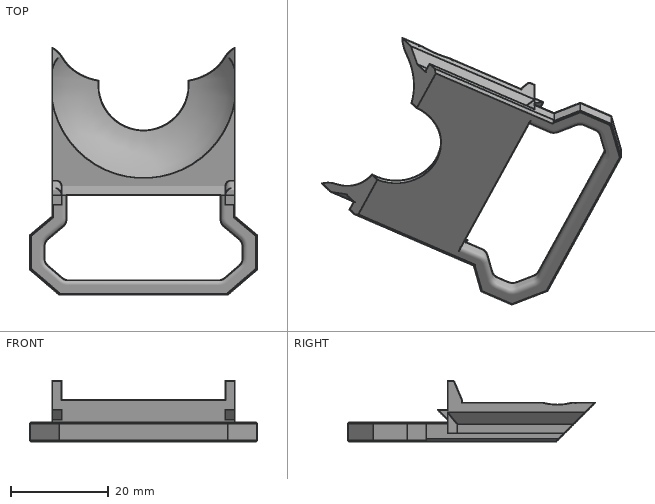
import cadquery as cq

length = 50.75
body_half_width = 18.8
plate_top = 8.0
body_front = 20.45
body_bottom_chamfer = 0.6

handle_height = 3.95
handle_half_width = 23.3
handle_front_half_width = 17.25
handle_wall = 3.0
handle_side_front = 5.2
handle_side_back = 12.25
neck_front = 16.05
handle_chamfer = 0.25
handle_inner_radius = 2.0
handle_inner_fillet = 1.0

bowl_y = 43.0
bowl_rim_radius = 19.05
bowl_mid_radius = 14.3
bowl_mid_z = 3.15
hole_radius = 9.25
hole_top = 1.2

relief_width = 2.25
relief_bulge = 0.3
relief_start = 40.6

groove_depth = 2.05
groove_floor = 1.75
groove_inner_top = 3.55
groove_outer_top = 6.0

lug_width = 2.0
post_top = 12.5
post_length = 3.0
post_top_length = 1.3
post_base_height = 0.5
post_edge_fillet = 1.2
post_top_fillet = 0.5
hook_top = 6.5
hook_reach = 2.0
lip_height = 0.55
lip_length = 1.95


def both_sides(shape):
    """The shape together with its mirror image across the YZ plane."""
    return shape.union(shape.mirror("YZ"))


def along_x(points, x_start, width):
    """Prism with a (Y, Z) outline, running from x_start towards +X."""
    return cq.Workplane("YZ").workplane(offset=x_start).polyline(points).close().extrude(width)


def make_body():
    """Block with a 45 degree undercut back."""
    side = [
        (body_front, 0),
        (length - plate_top, 0),
        (length, plate_top),
        (body_front, plate_top),
    ]
    return along_x(side, -body_half_width, 2 * body_half_width)


def make_handle():
    """Closed octagonal loop whose necks run back into the body."""
    right = [
        (handle_front_half_width, 0),
        (handle_half_width, handle_side_front),
        (handle_half_width, handle_side_back),
        (body_half_width, neck_front),
        (body_half_width, body_front + handle_wall),
    ]
    left = [(-x, y) for x, y in reversed(right)]
    corners = right + left
    inset = cq.Workplane("XY").polyline(corners).close().offset2D(-handle_wall, "intersection")
    opening = cq.Workplane("XY").add(inset).toPending().extrude(handle_height)
    opening = opening.edges("|Z").edges("not >Y").fillet(handle_inner_radius)

    outer = cq.Workplane("XY").polyline(corners).close().extrude(handle_height)
    outer = outer.faces("<Z or >Z").edges("not >Y").chamfer(handle_chamfer)
    loop = outer.cut(opening)
    top_rim = loop.faces(">Z").val().innerWires()[0].Edges()
    bottom_rim = loop.faces("<Z").val().innerWires()[0].Edges()
    return loop.newObject(top_rim + bottom_rim).fillet(handle_inner_fillet)


def make_bottom_chamfer():
    """Wedge that bevels the bottom edge of the body and neck on the +X side."""
    return (
        cq.Workplane("XZ", origin=(0, neck_front, 0))
        .moveTo(body_half_width - body_bottom_chamfer, 0)
        .lineTo(body_half_width, 0)
        .lineTo(body_half_width, body_bottom_chamfer)
        .close()
        .extrude(neck_front - length)
    )


def make_relief():
    """Convex cut at the +X tip, fanning out from a point on the side edge to the back face."""
    apex = cq.Vector(body_half_width, relief_start, plate_top)
    tip = cq.Vector(body_half_width, length, plate_top)
    low = tip - cq.Vector(relief_width, relief_width, relief_width)
    middle = (tip + low) / 2 + cq.Vector(0, relief_bulge, relief_bulge)
    corner = tip - cq.Vector(relief_width, 0, 0)
    base = cq.Wire.assembleEdges([
        cq.Edge.makeThreePointArc(tip, middle, low),
        cq.Edge.makeLine(low, corner),
        cq.Edge.makeLine(corner, tip),
    ])
    apex_point = cq.Vertex.makeVertex(*apex.toTuple())
    return cq.Workplane(cq.occ_impl.shapes.loft(base, apex_point, cap=True, ruled=True))


def make_bowl():
    """Revolved bowl with a straight hole through its floor."""
    return (
        cq.Workplane("XZ")
        .lineTo(hole_radius, 0)
        .lineTo(hole_radius, hole_top)
        .threePointArc((bowl_mid_radius, bowl_mid_z), (bowl_rim_radius, plate_top))
        .lineTo(bowl_rim_radius, post_top)
        .lineTo(0, post_top)
        .close()
        .revolve(360, (0, 0, 0), (0, 1, 0))
        .translate((0, bowl_y, 0))
    )


def make_groove():
    """Undercut groove on the +X side, running out at the front of the body."""
    inner_x = body_half_width - groove_depth
    section = (
        cq.Workplane("XZ")
        .moveTo(body_half_width, groove_floor)
        .lineTo(inner_x, groove_floor)
        .lineTo(inner_x, groove_inner_top)
        .lineTo(body_half_width, groove_outer_top)
        .close()
        .extrude(-length)
    )
    plan = (
        cq.Workplane("XY")
        .moveTo(body_half_width, body_front)
        .lineTo(inner_x, body_front + groove_depth)
        .lineTo(inner_x, length)
        .lineTo(body_half_width, length)
        .close()
        .extrude(plate_top)
    )
    return section.intersect(plan)


def make_post():
    """Upright post on the +X side with a sloped back and a rounded inner corner."""
    slope_top = body_front + post_top_length
    back = body_front + post_length
    points = [
        (body_front, hook_top),
        (back, hook_top),
        (back, plate_top + post_base_height),
        (slope_top, post_top),
        (body_front, post_top),
    ]
    post = along_x(points, body_half_width - lug_width, lug_width)
    round_topped = post.faces(">Z").edges(">Y").fillet(post_top_fillet)
    round_edged = post.faces("<X").edges("not (|Y or <Y)").fillet(post_edge_fillet)
    return round_topped.intersect(round_edged)


def make_hook():
    """Wedge on the front face under the +X post."""
    points = [
        (body_front, hook_top - hook_reach),
        (body_front, hook_top),
        (body_front - hook_reach, hook_top),
    ]
    return along_x(points, body_half_width - lug_width, lug_width)


def make_lip():
    """Ramp along the front edge of the plate."""
    points = [
        (body_front, plate_top),
        (body_front + lip_length, plate_top),
        (body_front, plate_top + lip_height),
    ]
    return along_x(points, -body_half_width, 2 * body_half_width)


result = make_body().union(make_handle()).union(make_lip())
result = result.union(both_sides(make_post())).union(both_sides(make_hook()))
result = result.cut(make_bowl()).cut(both_sides(make_groove()))
result = result.cut(both_sides(make_bottom_chamfer())).cut(both_sides(make_relief()))